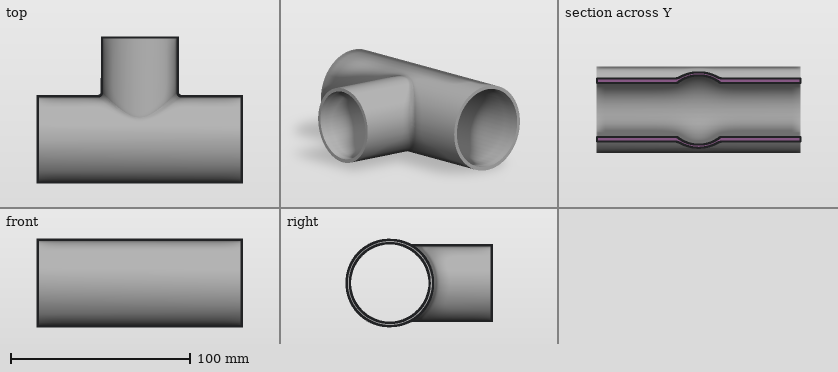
import cadquery as cq

run_length = 114.0
run_diameter = 48.3
run_bore = 44.3

branch_reach = 57.0
branch_diameter = 42.4
branch_bore = 38.4

blend_radius = 2.0


def run_cylinder(diameter):
    """Cylinder along X, centred on the origin."""
    return cq.Workplane("YZ").circle(diameter / 2).extrude(run_length / 2, both=True)


def branch_cylinder(diameter):
    """Cylinder from the main axis to the branch end, along +Y."""
    return cq.Workplane("XZ").circle(diameter / 2).extrude(-branch_reach)


outer = run_cylinder(run_diameter).union(branch_cylinder(branch_diameter))

saddle_box = cq.selectors.BoxSelector(
    (-branch_diameter / 2, 0, -run_diameter / 2),
    (branch_diameter / 2, run_diameter / 2, run_diameter / 2),
)
outer = outer.edges(saddle_box).fillet(blend_radius)

result = outer.cut(run_cylinder(run_bore)).cut(branch_cylinder(branch_bore))